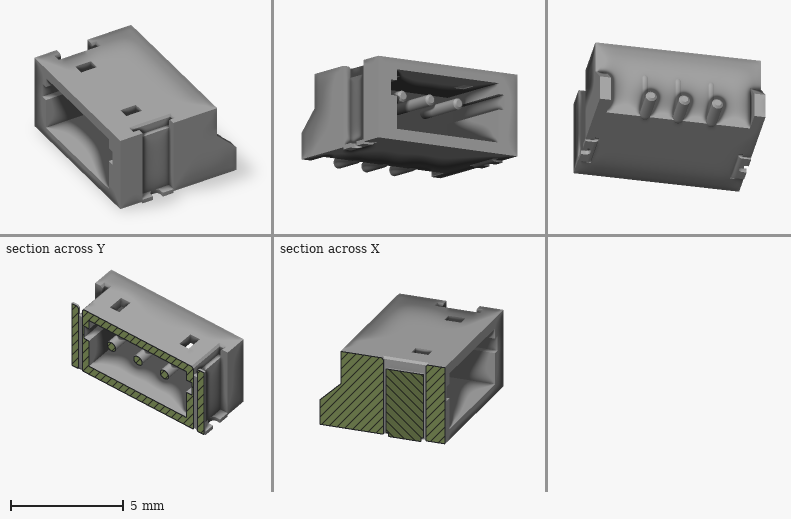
import cadquery as cq


WIDTH = 7.51
DEPTH = 5.0
HEIGHT = 3.7
HALF_WIDTH = WIDTH / 2
SIDES = (-1, 1)

WING_THICKNESS = 0.5
WING_REAR_Y = 6.01
WING_REAR_HEIGHT = 1.2
WING_ROOT_HEIGHT = 2.14

CAVITY_WIDTH = 5.5
WALL = 0.5
CAVITY_DEPTH = 4.0
KEYWAY_SPAN = 6.11
KEYWAY_HEIGHT = 0.7
KEYWAY_BOTTOM_Z = 2.005

WINDOW_WIDTH = 0.525
WINDOW_LENGTH = 0.8
WINDOW_X = 1.97
WINDOW_Y = 1.615

RETAINER_Y = 1.945
CUTOUT_LENGTH = 1.59
SLOT_LENGTH = 2.0
SLOT_INSET = 0.4
LEAD_IN = 0.1

PIN_COUNT = 3
PIN_PITCH = 1.5
PIN_DIAMETER = 0.5
PIN_TIP_CHAMFER = 0.1
PIN_BEND_RADIUS = 0.3
PIN_FRONT_Y = 1.29
PIN_FRONT_Z = 2.35
PIN_RISER_Y = 4.785
PIN_REAR_Y = 6.5

TAB_THICKNESS = 0.2
BLADE_LENGTH = 1.8
BLADE_TOP_RECESS = 0.5
STANDOFF = 0.1
NOTCH_WIDTH = 0.5
NOTCH_CORNER_RADIUS = 0.2

PIN_RADIUS = PIN_DIAMETER / 2
PIN_REAR_Z = PIN_RADIUS - STANDOFF
BLADE_OUTER_X = HALF_WIDTH - SLOT_INSET
SLOT_X = BLADE_OUTER_X - TAB_THICKNESS / 2
FOOT_TOP_Z = TAB_THICKNESS - STANDOFF
BLADE_TOP_Z = HEIGHT - BLADE_TOP_RECESS


def block(x_size, y_size, z_size, x, y, z):
    """Box centred on x and y, standing on height z."""
    return cq.Workplane("XY").box(x_size, y_size, z_size, centered=(True, True, False)).translate((x, y, z))


def make_shell():
    """Outer body with the two sloped wings at the rear."""
    shell = block(WIDTH, DEPTH, HEIGHT, 0, DEPTH / 2, 0)
    wing_outline = [
        (DEPTH, 0),
        (WING_REAR_Y, 0),
        (WING_REAR_Y, WING_REAR_HEIGHT),
        (DEPTH, WING_ROOT_HEIGHT),
    ]
    for wing_start_x in (-HALF_WIDTH, HALF_WIDTH - WING_THICKNESS):
        wing = cq.Workplane("YZ").workplane(offset=wing_start_x).polyline(wing_outline).close()
        shell = shell.union(wing.extrude(WING_THICKNESS))
    return shell


def make_cavity():
    """Rectangular mating cavity widened by a keyway on each side."""
    opening = block(CAVITY_WIDTH, CAVITY_DEPTH, HEIGHT - 2 * WALL, 0, CAVITY_DEPTH / 2, WALL)
    keyways = block(KEYWAY_SPAN, CAVITY_DEPTH, KEYWAY_HEIGHT, 0, CAVITY_DEPTH / 2, KEYWAY_BOTTOM_Z)
    return opening.union(keyways)


def make_blade_slot(side):
    """Full-height slot with a chamfered mouth, and the cutout beside it that opens the outer wall."""
    slot = block(TAB_THICKNESS, SLOT_LENGTH, HEIGHT, side * SLOT_X, RETAINER_Y, 0)
    mouth = (
        cq.Workplane("XY", origin=(side * SLOT_X, RETAINER_Y, HEIGHT - LEAD_IN))
        .rect(TAB_THICKNESS, SLOT_LENGTH)
        .workplane(offset=LEAD_IN)
        .rect(TAB_THICKNESS + 2 * LEAD_IN, SLOT_LENGTH + 2 * LEAD_IN)
        .loft(ruled=True)
    )
    cutout = block(SLOT_INSET, CUTOUT_LENGTH, HEIGHT, side * (HALF_WIDTH - SLOT_INSET / 2), RETAINER_Y, 0)
    return slot.union(mouth).union(cutout)


def make_pin(x):
    """Round wire that leaves the cavity, drops behind it and runs out at the rear."""
    path = (
        cq.Workplane("YZ", origin=(x, 0, 0))
        .moveTo(PIN_FRONT_Y, PIN_FRONT_Z)
        .lineTo(PIN_RISER_Y - PIN_BEND_RADIUS, PIN_FRONT_Z)
        .tangentArcPoint((PIN_BEND_RADIUS, -PIN_BEND_RADIUS))
        .lineTo(PIN_RISER_Y, PIN_REAR_Z + PIN_BEND_RADIUS)
        .tangentArcPoint((PIN_BEND_RADIUS, -PIN_BEND_RADIUS))
        .lineTo(PIN_REAR_Y, PIN_REAR_Z)
    )
    wire_section = cq.Workplane("XZ", origin=(x, PIN_FRONT_Y, PIN_FRONT_Z)).circle(PIN_RADIUS)
    return wire_section.sweep(path).faces("<Y or >Y").chamfer(PIN_TIP_CHAMFER)


def make_housing():
    """Housing with its cavity, windows, blade slots and moulded-in pins."""
    housing = make_shell().cut(make_cavity())
    for side in SIDES:
        housing = housing.cut(
            block(WINDOW_WIDTH, WINDOW_LENGTH, WALL, side * WINDOW_X, WINDOW_Y, HEIGHT - WALL)
        )
        housing = housing.cut(make_blade_slot(side))
    for index in range(PIN_COUNT):
        housing = housing.union(make_pin((index - (PIN_COUNT - 1) / 2) * PIN_PITCH))
    return housing


def make_solder_tab(side):
    """L-shaped tab: a foot on the board, bent up into a wider blade that fills the slot."""
    blade = block(
        TAB_THICKNESS, BLADE_LENGTH, BLADE_TOP_Z - FOOT_TOP_Z, side * SLOT_X, RETAINER_Y, FOOT_TOP_Z
    )
    foot = (
        cq.Workplane("XZ", origin=(0, RETAINER_Y, 0))
        .moveTo(side * HALF_WIDTH, FOOT_TOP_Z)
        .lineTo(side * HALF_WIDTH, -STANDOFF)
        .lineTo(side * BLADE_OUTER_X, -STANDOFF)
        .radiusArc((side * (BLADE_OUTER_X - TAB_THICKNESS), FOOT_TOP_Z), side * TAB_THICKNESS)
        .close()
        .extrude(CUTOUT_LENGTH / 2, both=True)
    )
    notch = (
        block(2 * SLOT_INSET, NOTCH_WIDTH, TAB_THICKNESS, side * HALF_WIDTH, RETAINER_Y, -STANDOFF)
        .edges("|Z")
        .fillet(NOTCH_CORNER_RADIUS)
    )
    return blade.union(foot).cut(notch)


housing = make_housing()
solder_tabs = [make_solder_tab(side) for side in SIDES]

result = cq.Compound.makeCompound([housing.val(), *[tab.val() for tab in solder_tabs]])